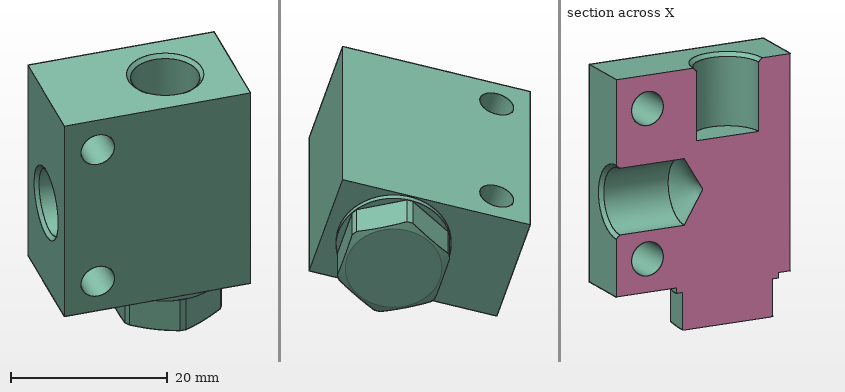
import cadquery as cq
import math

total_height = 34.8
block_width = 15.0
block_depth = 25.0
block_height = 29.02

port_diameter = 8.85
port_mouth_diameter = 9.85
port_depth = 9.75
drill_point_angle = 118.0
side_port_drop = 16.35
port_axis_inset = 9.0

mounting_hole_diameter = 4.5
mounting_hole_inset = 4.5

collar_diameter = 14.7
collar_thickness = 0.73
hex_across_flats = 12.98
hex_corner_diameter = 14.55
hex_end_diameter = 12.32
hex_end_chamfer_height = 0.3

plug_height = total_height - block_height
front_y = -block_depth / 2
port_axis_y = block_depth / 2 - port_axis_inset
side_port_z = block_height - side_port_drop


def port_cutter(tip_height=0):
    """Blind port opening at the origin and going along +Z, with a 45 degree mouth."""
    radius = port_diameter / 2
    mouth_radius = port_mouth_diameter / 2
    profile = (
        cq.Workplane("XZ")
        .moveTo(0, 0)
        .lineTo(mouth_radius, 0)
        .lineTo(radius, mouth_radius - radius)
        .lineTo(radius, port_depth)
        .lineTo(0, port_depth + tip_height)
    )
    return profile.close().revolve(360, (0, 0, 0), (0, 1, 0))


def hexagon_plug():
    """Round collar and hexagon, hanging below the origin."""
    corner_radius = hex_corner_diameter / 2
    chamfer_start = -plug_height + hex_end_chamfer_height
    envelope = (
        cq.Workplane("XZ")
        .moveTo(0, -collar_thickness)
        .lineTo(corner_radius, -collar_thickness)
        .lineTo(corner_radius, chamfer_start)
        .lineTo(hex_end_diameter / 2, -plug_height)
        .lineTo(0, -plug_height)
        .close()
        .revolve(360, (0, 0, 0), (0, 1, 0))
    )
    across_corners = hex_across_flats / math.cos(math.pi / 6)
    hexagon = cq.Workplane("XY").polygon(6, across_corners).extrude(-plug_height)
    collar = cq.Workplane("XY").circle(collar_diameter / 2).extrude(-collar_thickness)
    return hexagon.intersect(envelope).union(collar)


block = cq.Workplane("XY").box(block_width, block_depth, block_height, centered=(True, True, False))

top_port = port_cutter().rotate((0, 0, 0), (1, 0, 0), 180)
block = block.cut(top_port.translate((0, port_axis_y, block_height)))

drill_tip_height = port_diameter / 2 / math.tan(math.radians(drill_point_angle / 2))
side_port = port_cutter(drill_tip_height).rotate((0, 0, 0), (1, 0, 0), -90)
block = block.cut(side_port.translate((0, front_y, side_port_z)))

mounting_hole_y = front_y + mounting_hole_inset
for mounting_hole_z in (mounting_hole_inset, block_height - mounting_hole_inset):
    mounting_hole = (
        cq.Workplane("YZ")
        .center(mounting_hole_y, mounting_hole_z)
        .circle(mounting_hole_diameter / 2)
        .extrude(block_width / 2, both=True)
    )
    block = block.cut(mounting_hole)

result = block.union(hexagon_plug().translate((0, port_axis_y, 0)))